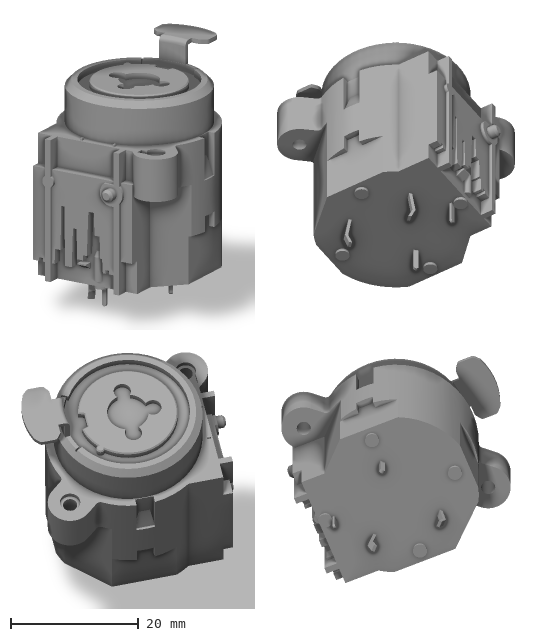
import cadquery as cq
import math

OVERLAP = 0.3

BODY_R = 12.95
BODY_H = 23.4
BOX_LEFT = -10.69
BOX_RIGHT = 7.5
FACE_Y = -12.9
SIDE_FLAT_X = 11.87
SIDE_FLAT_TOP = 7.9
SIDE_NOTCH_W = 2.8
SIDE_NOTCH_TOP = 10.47
BACK_FLAT_Y = 12.38
REAR_CHORD_DISTANCE = 12.2
REAR_CHORD_ANGLE = 136.8
FRONT_CHORD_DISTANCE = 11.68
FRONT_CHORD_ANGLE = -45.0

EAR_X = 10.0
EAR_Y = 11.5
EAR_R = 3.5
EAR_H = 7.0
EAR_FILLET = 0.8
HOLE_D = 2.2
COUNTERBORE_D = 3.2
COUNTERBORE_DEPTH = 0.8
EAR_BOTTOM = BODY_H - EAR_H

SNAP_W = 2.95
SNAP_FLOOR_X = 11.74
SNAP_RAMP_TOP = 19.75
SNAP_RAMP_TOP_W = 1.8
SNAP_RAMP_DEPTH = 0.9
SNAP_LEDGE = 0.15

PANEL_Y = -14.45
PANEL_BOTTOM = 2.93
PANEL_TOP = 18.4
PANEL_RIGHT_BOTTOM = 5.41
RIDGE_Y = -15.0
RIDGE_W = 0.97
RIDGE_LEFT_X = -7.62
RIDGE_RIGHT_X = 4.95
BOSS_Z = 16.46
BOSS_LEFT_D = 2.0
BOSS_RIGHT_X = 3.98
BOSS_RIGHT_D = 4.1
BOSS_RIGHT_TOP = 17.98
POST_D = 2.0
POST_TIP_Y = -16.5
POST_CHAMFER = 0.4

RING_R = 11.67
RING_TOP = 30.45
RING_CHAMFER = 1.0
RING_INNER_R = 9.71
GROOVE_DEPTH = 1.2
GROOVE_FLOOR = RING_TOP - GROOVE_DEPTH
DISC_R = 7.8
DISC_TOP = RING_TOP - 0.05
DISC_CHAMFER = 0.2
DISC_H = DISC_TOP - GROOVE_FLOOR
KEY_TOP_W = 3.05
KEY_BOTTOM_W = 2.3
KEY_FLOOR_Y = 6.7
MARK_D = 1.35
MARK_RADIUS = 7.96
SOCKET_R = 3.25
SOCKET_LOBE_R = 1.35
SOCKET_LOBE_OFFSET = 4.0
SOCKET_DEPTH = 1.0

LATCH_W = 4.85
LATCH_INNER_R = 10.15
LATCH_OUTER_R = 10.86
LATCH_TOP = 34.3
PLATE_T = 0.75
LATCH_BEND_R = 0.9
PLATE_W = 10.15
PLATE_FRONT_Y = 11.7
PLATE_SHOULDER_Y = 12.5
PLATE_SHOULDER_X = 4.0
PLATE_SIDE_Y = 15.05
PLATE_CORNER_X = 4.2
PLATE_CORNER_Y = 15.9
PLATE_TIP_Y = 16.81
LATCH_POCKET_W = 9.7
LATCH_POCKET_R = 10.05
SLIT_W = 0.3
SLIT_OUTER_R = 10.9

PIN_LENGTH = 4.0
LEG_LENGTH = 5.0
FOOT_D = 2.2
FOOT_H = 0.5
FOOT_RADIUS = 9.95


def block(x0, x1, y0, y1, z0, z1):
    """Axis-aligned box between two corners."""
    return cq.Workplane("XY").box(x1 - x0, y1 - y0, z1 - z0, centered=False).translate((x0, y0, z0))


def disc(radius, z0, z1, x=0.0, y=0.0):
    """Upright cylinder."""
    return cq.Workplane("XY").workplane(offset=z0).center(x, y).circle(radius).extrude(z1 - z0)


def front_rod(diameter, x, z, y_front, y_back):
    """Cylinder along Y."""
    length = y_back - y_front
    return cq.Workplane("XZ", origin=(0, y_back, 0)).center(x, z).circle(diameter / 2).extrude(length)


def front_prism(points, y_front, y_back):
    """Polygon in X and Z, extruded along Y."""
    return cq.Workplane("XZ", origin=(0, y_back, 0)).polyline(points).close().extrude(y_back - y_front)


def both_sides(shape):
    """The shape together with its mirror image across the YZ plane."""
    return shape.union(shape.mirror("YZ"))


def chord_cutter(distance, angle):
    """Block that leaves a flat at the given distance and direction, below the ears."""
    size = 2 * BODY_R
    cutter = block(distance, distance + size, -size, size, 0, EAR_BOTTOM)
    return cutter.rotate((0, 0, 0), (0, 0, 1), angle)


def flange():
    """Upper part of the housing: a disc with two opposite ears."""
    reach = math.hypot(EAR_X, EAR_Y)
    angle = math.degrees(math.atan2(EAR_Y, -EAR_X))
    arms = (
        cq.Workplane("XY").workplane(offset=EAR_BOTTOM)
        .slot2D(2 * (reach + EAR_R), 2 * EAR_R, angle)
        .extrude(EAR_H)
    )
    joined = disc(BODY_R, EAR_BOTTOM, BODY_H).union(arms)
    along = math.sqrt(BODY_R**2 - EAR_R**2)
    for end in (-1, 1):
        for side in (-1, 1):
            turn = math.radians(angle)
            x = end * along * math.cos(turn) - side * EAR_R * math.sin(turn)
            y = end * along * math.sin(turn) + side * EAR_R * math.cos(turn)
            corner = cq.selectors.NearestToPointSelector((x, y, EAR_BOTTOM + EAR_H / 2))
            joined = joined.edges(corner).fillet(EAR_FILLET)
    return joined


def housing():
    core = disc(BODY_R, 0, EAR_BOTTOM)
    core = core.cut(chord_cutter(REAR_CHORD_DISTANCE, REAR_CHORD_ANGLE))
    core = core.cut(chord_cutter(FRONT_CHORD_DISTANCE, FRONT_CHORD_ANGLE))
    flat = block(SIDE_FLAT_X, BODY_R, -BODY_R, BODY_R, 0, SIDE_FLAT_TOP)
    notch = block(SIDE_FLAT_X, BODY_R, -SIDE_NOTCH_W / 2, SIDE_NOTCH_W / 2, 0, SIDE_NOTCH_TOP)
    core = core.cut(both_sides(flat.union(notch)))
    core = core.cut(block(-BODY_R, BODY_R, BACK_FLAT_Y, BODY_R, 0, SIDE_NOTCH_TOP))
    front_box = block(BOX_LEFT, BOX_RIGHT, FACE_Y, 0, 0, BODY_H)
    bulge = block(BOX_LEFT, RIDGE_RIGHT_X, -BODY_R, FACE_Y, 0, BODY_H)
    joined = core.union(flange()).union(front_box).cut(bulge)
    reach = math.hypot(EAR_X, EAR_Y)
    corner_x = (EAR_X * -FACE_Y - EAR_R * reach) / EAR_Y
    corner = cq.selectors.NearestToPointSelector((corner_x, FACE_Y, BODY_H - EAR_H / 2))
    return joined.edges("|Z").edges(corner).fillet(EAR_FILLET)


def ear_holes():
    cutters = cq.Workplane("XY")
    for x, y in ((-EAR_X, EAR_Y), (EAR_X, -EAR_Y)):
        cutters = cutters.union(disc(HOLE_D / 2, EAR_BOTTOM, BODY_H, x, y))
        cutters = cutters.union(disc(COUNTERBORE_D / 2, BODY_H - COUNTERBORE_DEPTH, BODY_H, x, y))
    side_pocket = block(BOX_RIGHT, EAR_X, FACE_Y, -EAR_Y, BODY_H - COUNTERBORE_DEPTH, BODY_H)
    return cutters.union(side_pocket)


def snap_recesses():
    """Open-topped slots with a tapered ramp rising from the floor."""
    slot = block(SNAP_FLOOR_X, BODY_R, -SNAP_W / 2, SNAP_W / 2, EAR_BOTTOM, BODY_H)
    ramp_bottom = EAR_BOTTOM + SNAP_LEDGE
    ramp_x = SNAP_FLOOR_X + SNAP_RAMP_DEPTH
    profile = [(SNAP_FLOOR_X, ramp_bottom), (ramp_x, ramp_bottom), (SNAP_FLOOR_X, SNAP_RAMP_TOP)]
    ramp = front_prism(profile, -SNAP_W / 2, SNAP_W / 2)
    half_bottom = SNAP_W / 2
    half_top = SNAP_RAMP_TOP_W / 2
    taper = [
        (-half_bottom, ramp_bottom),
        (half_bottom, ramp_bottom),
        (half_top, SNAP_RAMP_TOP),
        (-half_top, SNAP_RAMP_TOP),
    ]
    ramp = ramp.intersect(cq.Workplane("YZ").polyline(taper).close().extrude(BODY_R))
    return both_sides(slot.cut(ramp))


def front_panel():
    panel = block(BOX_LEFT, BOX_RIGHT, PANEL_Y, FACE_Y, PANEL_BOTTOM, PANEL_TOP)
    panel = panel.cut(block(RIDGE_RIGHT_X, BOX_RIGHT, PANEL_Y, FACE_Y, PANEL_BOTTOM, PANEL_RIGHT_BOTTOM))
    narrow_slot = [
        (-6.70, PANEL_BOTTOM), (-6.59, 5.41), (-5.62, 5.41),
        (-5.48, 12.71), (-4.90, 12.71), (-4.79, PANEL_BOTTOM),
    ]
    wide_slot = [
        (-3.55, PANEL_BOTTOM), (-3.33, 9.39), (-2.69, 9.39), (-2.56, 4.42), (-1.53, 4.42),
        (-1.45, 5.25), (-0.79, 5.25), (-0.51, 12.60), (0.48, 12.60), (0.62, 8.87),
        (1.56, 8.87), (1.62, 5.25), (2.00, 5.25), (2.14, PANEL_BOTTOM),
    ]
    for outline in (narrow_slot, wide_slot):
        panel = panel.cut(front_prism(outline, PANEL_Y, FACE_Y))
    nick_w = 0.65
    nick_h = 0.6
    for x in (-9.19, 2.94):
        nick = block(x - nick_w / 2, x + nick_w / 2, PANEL_Y, FACE_Y, PANEL_BOTTOM, PANEL_BOTTOM + nick_h)
        panel = panel.cut(nick)
    return panel


def ridges_and_bosses():
    back = FACE_Y + OVERLAP
    shape = cq.Workplane("XY")
    for x in (RIDGE_LEFT_X, RIDGE_RIGHT_X):
        shape = shape.union(block(x - RIDGE_W / 2, x + RIDGE_W / 2, RIDGE_Y, back, 0, BODY_H))
    shape = shape.union(front_rod(BOSS_LEFT_D, RIDGE_LEFT_X, BOSS_Z, RIDGE_Y, back))
    boss = front_rod(BOSS_RIGHT_D, BOSS_RIGHT_X, BOSS_Z, RIDGE_Y, back)
    boss = boss.intersect(block(0, BODY_R, RIDGE_Y, back, 0, BOSS_RIGHT_TOP))
    post = front_rod(POST_D, BOSS_RIGHT_X, BOSS_Z, POST_TIP_Y, back).faces("<Y").chamfer(POST_CHAMFER)
    return shape.union(boss).union(post)


def flange_nibs():
    """Two tiny blocks on the flange beside the barrel."""
    size = 0.35
    length = 0.55
    centre_y = -12.3
    shape = cq.Workplane("XY")
    for x in (-2.98, 2.95):
        nib = block(
            x - size / 2, x + size / 2, centre_y - length / 2, centre_y + length / 2,
            BODY_H - OVERLAP, BODY_H + size,
        )
        shape = shape.union(nib)
    return shape


def front_contacts():
    """Rounded contact and bent tab at the foot of the front face."""
    rod_d = 1.4
    rod_bottom = 1.0
    rod_top = 5.0
    cone_h = 0.9
    cone_inset = 0.35
    rod_x = 0.47
    rod = disc(rod_d / 2, rod_bottom, rod_top + cone_h, rod_x, FACE_Y)
    rod = rod.faces(">Z").chamfer(cone_h, cone_inset)
    tab_reach = 1.4
    tab_tip = FACE_Y - tab_reach
    tab_back = FACE_Y + OVERLAP
    tab_bottom = 2.7
    tab_tip_bottom = 3.5
    tab_top = 3.75
    tab_profile = [
        (tab_back, tab_bottom), (FACE_Y, tab_bottom), (tab_tip, tab_tip_bottom),
        (tab_tip, tab_top), (tab_back, tab_top),
    ]
    tab_left = -2.6
    tab_w = 1.6
    tab = cq.Workplane("YZ", origin=(tab_left, 0, 0)).polyline(tab_profile).close().extrude(tab_w)
    return rod.union(tab)


def barrel():
    ring = disc(RING_R, BODY_H - OVERLAP, RING_TOP).faces(">Z").chamfer(RING_CHAMFER)
    ring = ring.cut(disc(RING_INNER_R, GROOVE_FLOOR, RING_TOP))
    pocket = disc(LATCH_POCKET_R, GROOVE_FLOOR, RING_TOP)
    pocket = pocket.intersect(
        block(-LATCH_POCKET_W / 2, LATCH_POCKET_W / 2, 0, RING_R, GROOVE_FLOOR, RING_TOP)
    )
    ring = ring.cut(pocket)
    slit_angle = math.degrees(math.asin(LATCH_POCKET_W / 2 / LATCH_POCKET_R))
    slit = block(-SLIT_W / 2, SLIT_W / 2, RING_INNER_R - OVERLAP, SLIT_OUTER_R, GROOVE_FLOOR, RING_TOP)
    for angle in (-slit_angle, slit_angle):
        ring = ring.cut(slit.rotate((0, 0, 0), (0, 0, 1), angle))
    return ring


def insert_disc():
    face = disc(DISC_R, GROOVE_FLOOR - OVERLAP, DISC_TOP)
    key = [
        (-KEY_BOTTOM_W / 2, KEY_FLOOR_Y),
        (KEY_BOTTOM_W / 2, KEY_FLOOR_Y),
        (KEY_TOP_W / 2, DISC_R),
        (-KEY_TOP_W / 2, DISC_R),
    ]
    keyway = cq.Workplane("XY").workplane(offset=GROOVE_FLOOR).polyline(key).close().extrude(DISC_H)
    face = face.cut(keyway)
    face = face.faces(">Z").chamfer(DISC_CHAMFER)
    mark_offset = MARK_RADIUS * math.sqrt(0.5)
    mark = disc(MARK_D / 2, GROOVE_FLOOR - OVERLAP, DISC_TOP, -mark_offset, mark_offset)
    face = face.union(mark.faces(">Z").chamfer(DISC_CHAMFER))
    floor = DISC_TOP - SOCKET_DEPTH
    socket = disc(SOCKET_R, floor, DISC_TOP)
    for x, y in ((-1, 0), (1, 0), (0, -1)):
        lobe = disc(SOCKET_LOBE_R, floor, DISC_TOP, x * SOCKET_LOBE_OFFSET, y * SOCKET_LOBE_OFFSET)
        socket = socket.union(lobe)
    return face, socket


def push_latch():
    """Curved upright strip that bends outward into a flat push plate."""
    underside = LATCH_TOP - PLATE_T
    half = LATCH_W / 2
    strip = disc(LATCH_OUTER_R, GROOVE_FLOOR - OVERLAP, LATCH_TOP)
    strip = strip.cut(disc(LATCH_INNER_R, GROOVE_FLOOR - OVERLAP, LATCH_TOP))
    neck = disc(PLATE_FRONT_Y + OVERLAP, underside, LATCH_TOP)
    neck = neck.cut(disc(LATCH_INNER_R, underside, LATCH_TOP))
    bent = strip.union(neck)
    bent = bent.edges(cq.selectors.RadiusNthSelector(0)).edges(">Z").fillet(LATCH_BEND_R)
    bent = bent.intersect(block(-half, half, 0, PLATE_TIP_Y, 0, LATCH_TOP))
    side = PLATE_W / 2
    plate = (
        cq.Workplane("XY").workplane(offset=underside)
        .moveTo(-PLATE_SHOULDER_X, PLATE_FRONT_Y)
        .lineTo(PLATE_SHOULDER_X, PLATE_FRONT_Y)
        .lineTo(side, PLATE_SHOULDER_Y)
        .lineTo(side, PLATE_SIDE_Y)
        .lineTo(PLATE_CORNER_X, PLATE_CORNER_Y)
        .threePointArc((0, PLATE_TIP_Y), (-PLATE_CORNER_X, PLATE_CORNER_Y))
        .lineTo(-side, PLATE_SIDE_Y)
        .lineTo(-side, PLATE_SHOULDER_Y)
        .close()
        .extrude(PLATE_T)
    )
    corner_r = 0.6
    return bent.union(plate.edges("|Z").fillet(corner_r))


def straight_pin(x, y, width, thickness, angle):
    """Flat solder pin with a rounded end."""
    pin = (
        cq.Workplane("XZ", origin=(0, thickness / 2, 0))
        .moveTo(-width / 2, OVERLAP)
        .lineTo(width / 2, OVERLAP)
        .lineTo(width / 2, width / 2 - PIN_LENGTH)
        .threePointArc((0, -PIN_LENGTH), (-width / 2, width / 2 - PIN_LENGTH))
        .close()
        .extrude(thickness)
    )
    return pin.rotate((0, 0, 0), (0, 0, 1), angle).translate((x, y, 0))


def bent_leg(x, y, angle):
    """Retention leg: leans out toward the given direction, then kicks back in."""
    thickness = 0.5
    width = 1.05
    lean = 0.55
    kick = 0.1
    knee = -3.5
    profile = [
        (0, OVERLAP), (0, 0), (lean, knee), (-kick, -LEG_LENGTH),
        (thickness - kick, -LEG_LENGTH), (thickness + lean, knee), (thickness, 0), (thickness, OVERLAP),
    ]
    leg = cq.Workplane("XZ", origin=(-thickness / 2, width / 2, 0)).polyline(profile).close().extrude(width)
    return leg.rotate((0, 0, 0), (0, 0, 1), angle).translate((x, y, 0))


def underside_parts():
    front_pin = straight_pin(x=0, y=-10.4, width=0.77, thickness=0.4, angle=0)
    side_pin = straight_pin(x=5.75, y=0, width=0.8, thickness=0.5, angle=-45)
    rear_leg = bent_leg(x=-5.4, y=5.2, angle=135)
    front_leg = bent_leg(x=-5.2, y=-5.9, angle=-45)
    shape = front_pin.union(side_pin).union(rear_leg).union(front_leg)
    front_foot_x = 0.3
    front_foot = (front_foot_x, FACE_Y + FOOT_D / 2)
    for x, y in ((-FOOT_RADIUS, 0), (FOOT_RADIUS, 0), (0, FOOT_RADIUS), front_foot):
        shape = shape.union(disc(FOOT_D / 2, -FOOT_H, OVERLAP, x, y))
    return shape


body = housing().cut(ear_holes()).cut(snap_recesses())
for piece in (front_panel(), ridges_and_bosses(), flange_nibs(), front_contacts(), underside_parts()):
    body = body.union(piece)
insert, socket_cutter = insert_disc()
body = body.union(barrel()).union(insert).cut(socket_cutter).union(push_latch())

result = body